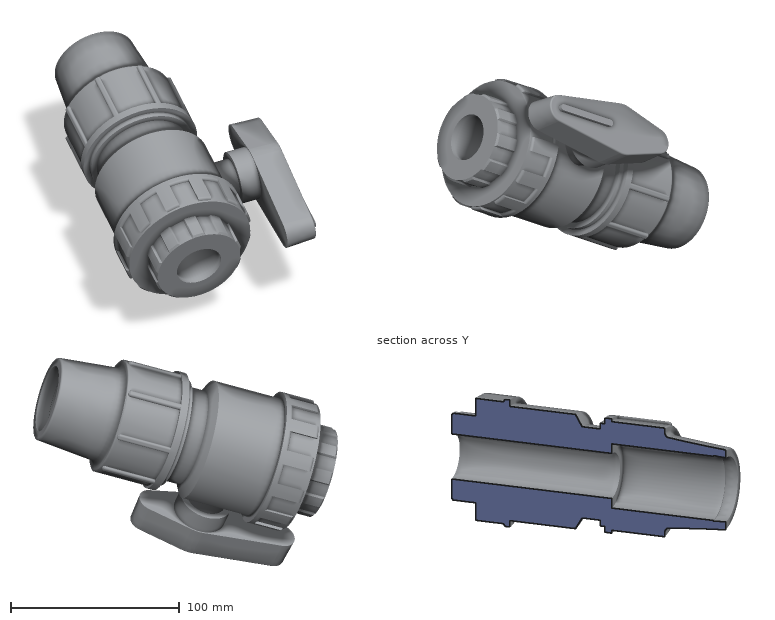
import cadquery as cq
import math


LIP_RADIUS = 1.2
CONE_END = 35.7
CLAMP_START = 38.5
COLLAR_START = 72.2
COLLAR_END = 76.7
SEAT_END = 79.8
NECK_END = 90.9
BODY_START = 95.1
UNION_START = 136.5
UNION_END = 158.4
PIPE_END = 173.6

LIP_DIA = 50.4
CONE_DIA = 57.0
FLARE_DIA = 62.0
CLAMP_DIA = 68.4
COLLAR_DIA = 72.0
SEAT_DIA = 64.8
NECK_DIA = 57.6
BODY_DIA = 72.0
UNION_DIA = 80.0
UNION_ROOT_DIA = 76.8
TAIL_DIA = 52.4
CLAMP_EDGE_RADIUS = 1.0

BORE_DIA = 28.0
SOCKET_MOUTH_DEPTH = 8.0
SOCKET_MOUTH_INNER_DIA = 41.0
SOCKET_DIA = 40.0
SOCKET_DEPTH = COLLAR_START

END_SLOPE = 1.0
ROOT_OVERLAP = 1.0
CLAMP_RIB_COUNT = 8
CLAMP_RIB_TOP_RADIUS = COLLAR_DIA / 2
CLAMP_RIB_WIDTH = 3.7
CLAMP_RIB_EDGE_RADIUS = 1.25
UNION_RECESS_COUNT = 12
UNION_RECESS_WIDTH = 12.2
UNION_FLANGE_WIDTH = 2.5
UNION_LAND_END = 157.2
TAIL_PAD_COUNT = 10
TAIL_PAD_TOP_RADIUS = 27.4
TAIL_PAD_TOP_WIDTH = 6.7
TAIL_PAD_ROOT_WIDTH = 9.2

HALF_ARC_SINE = math.sqrt(0.5)

STEM_DIA = 24.0
STEM_BOTTOM = 20.0
HUB_DIA = 32.0
HUB_BOTTOM = 43.6
HANDLE_BOTTOM = 55.3
HANDLE_TOP = 73.8
HANDLE_TAPER = 2.6
HANDLE_EDGE_RADIUS = 0.9
HANDLE_MIDDLE_RADIUS = 16.8
SHORT_TIP_RADIUS = 8.7
SHORT_REACH = 37.8
LONG_TIP_RADIUS = 9.3
LONG_REACH = 60.2
OVERALL_LENGTH = 176.14
STEM_X = OVERALL_LENGTH - LONG_REACH
POINTER_TOP = 76.22
POINTER_WIDTH = 4.0
POINTER_START = 10.8
POINTER_END = 52.9


def cylinder_x(start, end, diameter):
    """Cylinder on the X axis between two positions."""
    return cq.Workplane("YZ", origin=(start, 0, 0)).circle(diameter / 2).extrude(end - start)


def spin(profile):
    """Revolve a closed (x, radius) profile about the X axis."""
    return profile.close().revolve(360, (0, 0, 0), (1, 0, 0))


def around_x(shape, count, first_angle=0):
    """Copies of a shape spaced evenly about the X axis, fused together."""
    copies = cq.Workplane("XY")
    for index in range(count):
        angle = first_angle + index * 360 / count
        copies = copies.add(shape.rotate((0, 0, 0), (1, 0, 0), angle))
    return copies.combine()


def make_inlet():
    """Flared inlet cone and clamp nut, up to the collar."""
    cone = (
        spin(
            cq.Workplane("XY")
            .moveTo(0, 0)
            .lineTo(0, LIP_DIA / 2)
            .lineTo(CONE_END, CONE_DIA / 2)
            .lineTo(CONE_END, 0)
        )
        .faces("<X").edges().fillet(LIP_RADIUS)
    )
    flare_run = CLAMP_START - CONE_END
    flare_rise = (FLARE_DIA - CONE_DIA) / 2
    flare_middle = (
        CONE_END + flare_run * HALF_ARC_SINE,
        CONE_DIA / 2 + flare_rise * (1 - HALF_ARC_SINE),
    )
    flare = spin(
        cq.Workplane("XY")
        .moveTo(CONE_END, 0)
        .lineTo(CONE_END, CONE_DIA / 2)
        .threePointArc(flare_middle, (CLAMP_START, FLARE_DIA / 2))
        .lineTo(CLAMP_START, 0)
    )
    clamp = cylinder_x(CLAMP_START, COLLAR_START, CLAMP_DIA).faces("<X").edges().fillet(CLAMP_EDGE_RADIUS)
    return cone.union(flare).union(clamp)


def make_body():
    """Collar, seat ring, neck, valve body and outlet tail."""
    collar = cylinder_x(COLLAR_START, COLLAR_END, COLLAR_DIA)
    seat = cylinder_x(COLLAR_END, SEAT_END, SEAT_DIA)
    chamber = spin(
        cq.Workplane("XY")
        .moveTo(SEAT_END, 0)
        .lineTo(SEAT_END, NECK_DIA / 2)
        .lineTo(NECK_END, NECK_DIA / 2)
        .lineTo(BODY_START, BODY_DIA / 2)
        .lineTo(UNION_START, BODY_DIA / 2)
        .lineTo(UNION_START, 0)
    )
    tail = cylinder_x(UNION_END, PIPE_END, TAIL_DIA)
    return collar.union(seat).union(chamber).union(tail)


def make_union_nut():
    """Union nut with shallow grip recesses open towards the outlet; land ends are quarter rounds."""
    outer = UNION_DIA / 2
    root = UNION_ROOT_DIA / 2
    edge = outer - root
    bulge = edge * HALF_ARC_SINE
    land_round_start = UNION_LAND_END - edge
    nut = spin(
        cq.Workplane("XY")
        .moveTo(UNION_START, 0)
        .lineTo(UNION_START, outer)
        .lineTo(land_round_start, outer)
        .threePointArc((land_round_start + bulge, root + bulge), (UNION_LAND_END, root))
        .lineTo(UNION_END, root)
        .lineTo(UNION_END, 0)
    )
    recess_start = UNION_START + UNION_FLANGE_WIDTH
    recess_ring = spin(
        cq.Workplane("XY")
        .moveTo(recess_start, outer)
        .threePointArc((recess_start + bulge, root + bulge), (recess_start + edge, root))
        .lineTo(UNION_END, root)
        .lineTo(UNION_END, outer)
    )
    sector = cq.Workplane("XY").box(
        UNION_END - UNION_START, outer, UNION_RECESS_WIDTH, centered=(False, False, True)
    ).translate((UNION_START, 0, 0))
    recess = recess_ring.intersect(sector)
    return nut.cut(around_x(recess, UNION_RECESS_COUNT))


def make_clamp_ribs():
    """Round-edged ribs on the clamp nut, sloped at the inlet end."""
    root = CLAMP_DIA / 2 - ROOT_OVERLAP
    start = CLAMP_START + CLAMP_EDGE_RADIUS
    length = COLLAR_START - start
    height = CLAMP_RIB_TOP_RADIUS - root
    rib = (
        cq.Workplane("XY", origin=(start, root, 0))
        .box(length, height, CLAMP_RIB_WIDTH, centered=(False, False, True))
        .edges(">Y and |X").fillet(CLAMP_RIB_EDGE_RADIUS)
        .faces("<X").edges(">Y").chamfer(END_SLOPE)
    )
    return around_x(rib, CLAMP_RIB_COUNT, 180 / CLAMP_RIB_COUNT)


def make_tail_pads():
    """Wide grip pads on the outlet tail with flaring sides, sloped at the outlet end."""
    base = TAIL_DIA / 2
    root = base - ROOT_OVERLAP
    envelope = spin(
        cq.Workplane("XY")
        .moveTo(UNION_END, root)
        .lineTo(UNION_END, TAIL_PAD_TOP_RADIUS)
        .lineTo(PIPE_END - END_SLOPE, TAIL_PAD_TOP_RADIUS)
        .lineTo(PIPE_END, base)
        .lineTo(PIPE_END, root)
    )
    pad = (
        cq.Workplane("YZ", origin=(UNION_END, 0, 0))
        .moveTo(root, -TAIL_PAD_ROOT_WIDTH / 2)
        .lineTo(TAIL_PAD_TOP_RADIUS, -TAIL_PAD_TOP_WIDTH / 2)
        .lineTo(TAIL_PAD_TOP_RADIUS, TAIL_PAD_TOP_WIDTH / 2)
        .lineTo(root, TAIL_PAD_ROOT_WIDTH / 2)
        .close()
        .extrude(PIPE_END - UNION_END)
        .intersect(envelope)
    )
    return around_x(pad, TAIL_PAD_COUNT, 180 / TAIL_PAD_COUNT)


def make_bore():
    """Through bore with the pipe socket, whose mouth widens inwards to a small step at the inlet."""
    bore = cylinder_x(0, PIPE_END, BORE_DIA)
    socket = cylinder_x(0, SOCKET_DEPTH, SOCKET_DIA)
    mouth = spin(
        cq.Workplane("XY")
        .moveTo(0, 0)
        .lineTo(0, SOCKET_DIA / 2)
        .lineTo(SOCKET_MOUTH_DEPTH, SOCKET_MOUTH_INNER_DIA / 2)
        .lineTo(SOCKET_MOUTH_DEPTH, 0)
    )
    return bore.union(socket).union(mouth)


def stem_plane(height):
    """Workplane on the stem axis at a height along Y, facing +Y."""
    return cq.Workplane(cq.Plane(origin=(STEM_X, height, 0), xDir=(1, 0, 0), normal=(0, 1, 0)))


def make_stem():
    """Stem and the wider hub under the handle."""
    stem = stem_plane(STEM_BOTTOM).circle(STEM_DIA / 2).extrude(HUB_BOTTOM - STEM_BOTTOM)
    hub = stem_plane(HUB_BOTTOM).circle(HUB_DIA / 2).extrude(HANDLE_BOTTOM - HUB_BOTTOM)
    return stem.union(hub)


def make_handle():
    """Tapered handle: a round middle joined by tangent sides to a short and a long rounded tip."""
    middle = HANDLE_MIDDLE_RADIUS
    short_x = SHORT_TIP_RADIUS - SHORT_REACH
    long_x = LONG_REACH - LONG_TIP_RADIUS
    short_sine = (middle - SHORT_TIP_RADIUS) / -short_x
    long_sine = (middle - LONG_TIP_RADIUS) / long_x
    short_cosine = math.sqrt(1 - short_sine**2)
    long_cosine = math.sqrt(1 - long_sine**2)
    short_point = (short_x - SHORT_TIP_RADIUS * short_sine, SHORT_TIP_RADIUS * short_cosine)
    middle_left = (-middle * short_sine, middle * short_cosine)
    middle_right = (middle * long_sine, middle * long_cosine)
    long_point = (long_x + LONG_TIP_RADIUS * long_sine, LONG_TIP_RADIUS * long_cosine)

    def mirrored(point):
        return (point[0], -point[1])

    blade = (
        stem_plane(HANDLE_BOTTOM)
        .moveTo(*short_point)
        .lineTo(*middle_left)
        .threePointArc((0, middle), middle_right)
        .lineTo(*long_point)
        .threePointArc((LONG_REACH, 0), mirrored(long_point))
        .lineTo(*mirrored(middle_right))
        .threePointArc((0, -middle), mirrored(middle_left))
        .lineTo(*mirrored(short_point))
        .threePointArc((-SHORT_REACH, 0), short_point)
        .close()
        .extrude(HANDLE_TOP - HANDLE_BOTTOM, taper=HANDLE_TAPER)
        .faces(">Y").edges().fillet(HANDLE_EDGE_RADIUS)
    )
    pointer = (
        stem_plane(HANDLE_TOP)
        .center((POINTER_START + POINTER_END) / 2, 0)
        .slot2D(POINTER_END - POINTER_START, POINTER_WIDTH)
        .extrude(POINTER_TOP - HANDLE_TOP)
    )
    return blade.union(pointer)


valve = make_inlet().union(make_body()).union(make_union_nut())
valve = valve.union(make_clamp_ribs()).union(make_tail_pads())
valve = valve.union(make_stem()).union(make_handle())
result = valve.cut(make_bore())